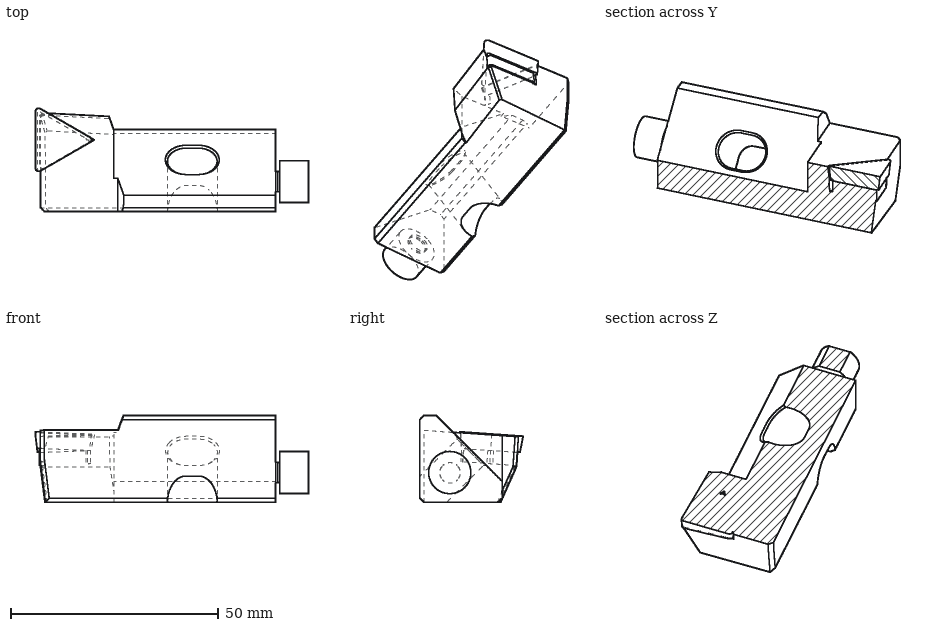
import cadquery as cq
import math

BODY_END = 58.0
BODY_WIDTH = 19.9
BODY_HEIGHT = 21.0
EDGE_CHAMFER = 1.0
RIDGE_WIDTH = 4.0

HEAD_FRONT = 1.2
HEAD_BACK = 18.9
HEAD_FRONT_WIDTH = 23.9
HEAD_SIDE_ANGLE = 3.0
HEAD_SHOULDER_ANGLE = 19.4
HEAD_BLANK_WIDTH = 25.0
HEAD_CORNER_CHAMFER = 0.5
HEAD_UNDERCUT_ANGLE = 23.7
HEAD_TOP = 17.5
TILT = 4.0
FRONT_RELIEF_DEPTH = 7.3
FRONT_RELIEF_ANGLE = 7.0
RIDGE_FOOT_X = 19.9
RIDGE_END_ANGLE = 21.0

SLOT_X = 37.9
SLOT_RADIUS = 4.5
SLOT_TRAVEL = 3.0
SLOT_CHAMFER = 0.5

INSERT_SIDE = 16.5
INSERT_THICKNESS = 3.97
INSERT_CORNER_RADIUS = 0.8
INSERT_CLEARANCE = 7.0
INSERT_MIDDLE = 17.4
INSERT_PROUD = 0.25
SHIM_THICKNESS = 3.18
SHIM_SETBACK = 0.4

INSERT_TOP = HEAD_TOP + INSERT_PROUD
INSERT_TAPER = INSERT_THICKNESS * math.tan(math.radians(INSERT_CLEARANCE))

SCREW_Y = 7.25
SCREW_Z = 7.2
THREAD_DIAMETER = 5.0
SHANK_DIAMETER = 4.9
THREAD_END = 58.55
SCREW_HEAD_START = 59.0
SCREW_HEAD_END = 66.0
SCREW_HEAD_DIAMETER = 10.2

REACH = 40.0
FRONT_ZONE = 5.0
MARGIN = 0.1


def slope(angle):
    return math.tan(math.radians(angle))


def tilted_plane(height):
    """Plane parallel to the head top that meets Y = 0 at the given height."""
    tilt = math.radians(TILT)
    return cq.Plane(origin=(0, 0, height), xDir=(1, 0, 0), normal=(0, math.sin(tilt), math.cos(tilt)))


def along_tilted_width(height, points):
    """Profile in X and Z, run along the tilted width of the head on both sides of Y = 0."""
    tilt = math.radians(TILT)
    plane = cq.Plane(origin=(0, 0, height), xDir=(1, 0, 0), normal=(0, -math.cos(tilt), math.sin(tilt)))
    return cq.Workplane(plane).polyline(points).close().extrude(REACH, both=True)


def make_shank():
    slope_foot = BODY_HEIGHT + RIDGE_WIDTH - BODY_WIDTH
    section = [
        (0, 0),
        (BODY_WIDTH - EDGE_CHAMFER, 0),
        (BODY_WIDTH, EDGE_CHAMFER),
        (BODY_WIDTH, slope_foot),
        (RIDGE_WIDTH, BODY_HEIGHT),
        (EDGE_CHAMFER, BODY_HEIGHT),
        (0, BODY_HEIGHT - EDGE_CHAMFER),
    ]
    bar = cq.Workplane("YZ").polyline(section).close().extrude(BODY_END - HEAD_BACK)
    return bar.translate((HEAD_BACK, 0, 0))


def ridge_end_cut():
    """Space above the head top, ending in the leaning end face of the ridge."""
    return along_tilted_width(HEAD_TOP, [
        (-REACH, 0),
        (RIDGE_FOOT_X, 0),
        (RIDGE_FOOT_X + REACH * slope(RIDGE_END_ANGLE), REACH),
        (-REACH, REACH),
    ])


def front_relief_cut():
    """Space in front of the lower front face, which leans back towards the base."""
    return along_tilted_width(HEAD_TOP - FRONT_RELIEF_DEPTH, [
        (HEAD_FRONT, 0),
        (HEAD_FRONT + REACH * slope(FRONT_RELIEF_ANGLE), -REACH),
        (-REACH, -REACH),
        (-REACH, 0),
    ])


def make_head():
    """Head blank, wider than the finished head until its far side is cut."""
    overhang = HEAD_BLANK_WIDTH - BODY_WIDTH
    outline = [
        (HEAD_FRONT, 0),
        (HEAD_BACK, 0),
        (HEAD_BACK, BODY_WIDTH),
        (HEAD_BACK - overhang * slope(HEAD_SHOULDER_ANGLE), HEAD_BLANK_WIDTH),
        (HEAD_FRONT, HEAD_BLANK_WIDTH),
    ]
    return cq.Workplane("XY").polyline(outline).close().extrude(BODY_HEIGHT)


def far_side_cut():
    """Space beyond the far side: its upper part is square to the head top, its lower part leans in more."""
    turn = math.radians(HEAD_SIDE_ANGLE)
    plane = cq.Plane(
        origin=(HEAD_FRONT, HEAD_FRONT_WIDTH, HEAD_TOP - HEAD_FRONT_WIDTH * slope(TILT)),
        xDir=(math.sin(turn), math.cos(turn), 0),
        normal=(math.cos(turn), -math.sin(turn), 0),
    )
    tilt = math.radians(TILT)
    break_drop = FRONT_RELIEF_DEPTH * math.cos(tilt) ** 2
    break_inset = break_drop * math.tan(tilt) * math.cos(turn)
    profile = [
        (REACH * math.tan(tilt) * math.cos(turn), REACH),
        (-break_inset, -break_drop),
        (-break_inset - REACH * slope(HEAD_UNDERCUT_ANGLE), -break_drop - REACH),
        (REACH, -break_drop - REACH),
        (REACH, REACH),
    ]
    return cq.Workplane(plane).polyline(profile).close().extrude(REACH, both=True)


def make_slot():
    """Slot through the corner of the section, widened by a chamfer at the sloping face."""
    middle = (BODY_HEIGHT + RIDGE_WIDTH) / 2
    plane = cq.Plane(origin=(SLOT_X, middle, middle), xDir=(1, 0, 0), normal=(0, 1, 1))
    length = SLOT_TRAVEL + 2 * SLOT_RADIUS
    hole = cq.Workplane(plane).slot2D(length, 2 * SLOT_RADIUS).extrude(REACH, both=True)
    mouth = (
        cq.Workplane(plane)
        .slot2D(length + 2 * SLOT_CHAMFER, 2 * (SLOT_RADIUS + SLOT_CHAMFER))
        .extrude(-SLOT_CHAMFER, taper=45)
    )
    return hole.union(mouth)


def triangle(depth, inset, corner_radius=0):
    """Insert outline below its top face, moved inwards: one edge towards -X, one tip towards +X."""
    center_x = INSERT_SIDE / (2 * math.sqrt(3))
    tip_radius = INSERT_SIDE / math.sqrt(3) - 2 * inset
    outline = (
        cq.Sketch()
        .regularPolygon(tip_radius, 3, angle=-90)
        .moved(cq.Location(cq.Vector(center_x, INSERT_MIDDLE, 0)))
    )
    if corner_radius:
        outline = outline.vertices().fillet(corner_radius)
    return cq.Workplane(tilted_plane(INSERT_TOP)).workplane(offset=-depth).placeSketch(outline)


def make_pocket():
    upper = triangle(0, 0).extrude(-INSERT_THICKNESS, taper=INSERT_CLEARANCE)
    lower = triangle(INSERT_THICKNESS, INSERT_TAPER).extrude(-SHIM_THICKNESS)
    return upper.union(lower)


def make_insert():
    outline = triangle(0, 0, INSERT_CORNER_RADIUS)
    return outline.extrude(-INSERT_THICKNESS, taper=INSERT_CLEARANCE)


def make_shim():
    """Smaller triangle seated against both pocket walls, so only its front edge is set back."""
    inset = SHIM_SETBACK / 3
    outline = triangle(INSERT_THICKNESS, INSERT_TAPER + inset, INSERT_CORNER_RADIUS)
    return outline.extrude(-SHIM_THICKNESS).translate((2 * inset, 0, 0))


def screw_cylinder(start, end, diameter):
    plane = cq.Plane(origin=(start, SCREW_Y, SCREW_Z), xDir=(0, 0, 1), normal=(1, 0, 0))
    return cq.Workplane(plane).circle(diameter / 2).extrude(end - start)


def make_screw():
    thread = screw_cylinder(BODY_END, THREAD_END, THREAD_DIAMETER)
    shank = screw_cylinder(THREAD_END, SCREW_HEAD_START, SHANK_DIAMETER)
    head = screw_cylinder(SCREW_HEAD_START, SCREW_HEAD_END, SCREW_HEAD_DIAMETER)
    return thread.union(shank).union(head)


def chamfer_near_side(body):
    """Chamfer the upright front edges and the long base edge at Y = 0."""
    front = cq.selectors.BoxSelector((0, -MARGIN, MARGIN), (FRONT_ZONE, MARGIN, HEAD_TOP - MARGIN))
    base = cq.selectors.BoxSelector((FRONT_ZONE, -MARGIN, -MARGIN), (BODY_END - MARGIN, MARGIN, MARGIN))
    return body.edges(front + base).chamfer(EDGE_CHAMFER)


def chamfer_far_corner(body):
    """Chamfer the upright and the leaning front edge on the far side of the head."""
    far_corner_top = HEAD_TOP - HEAD_FRONT_WIDTH * slope(TILT)
    corner = cq.selectors.BoxSelector(
        (0, BODY_WIDTH, MARGIN),
        (FRONT_ZONE, HEAD_FRONT_WIDTH + MARGIN, far_corner_top - MARGIN),
    )
    return body.edges(corner).chamfer(HEAD_CORNER_CHAMFER)


def make_cartridge():
    """Shank and head with the shim and the adjusting screw."""
    head = make_head().cut(front_relief_cut()).cut(far_side_cut())
    body = head.union(make_shank()).cut(ridge_end_cut())
    body = chamfer_far_corner(chamfer_near_side(body))
    body = body.cut(make_slot()).cut(make_pocket())
    return body.union(make_shim()).union(make_screw())


cartridge = make_cartridge()
insert = make_insert()

result = cq.Compound.makeCompound([cartridge.val(), insert.val()])